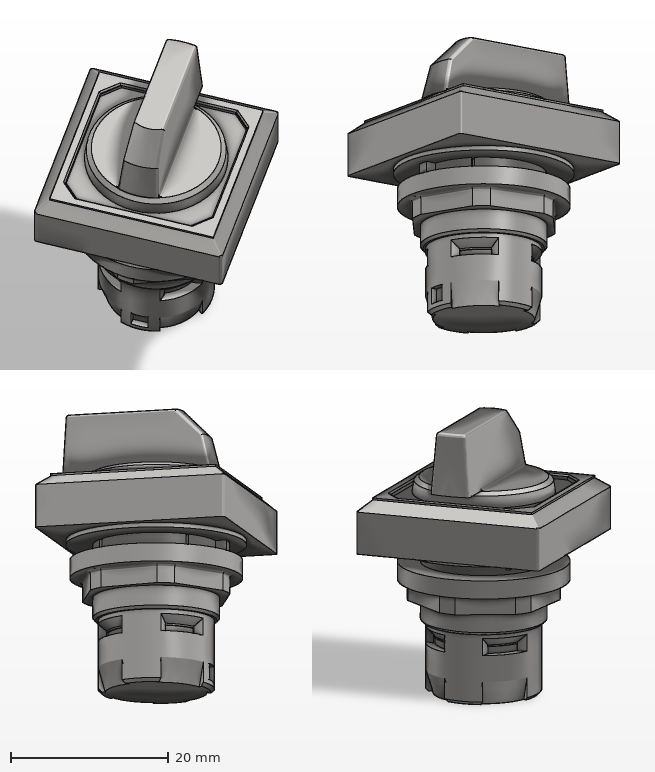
import cadquery as cq
import math

total_height = 36.3
barrel_step_z = 9.33
flange_bottom_z = 19.13
bezel_bottom_z = 19.7
bezel_shoulder_z = 25.23
bezel_lip_z = 26.6
bezel_top_z = 26.85
dial_top_z = 28.25

tolerance = 0.05

bezel_side = 25.0
bezel_corner_radius = 0.4
lip_side = 21.78
bezel_slope_run = (bezel_side - lip_side) / 2
recess_side = 19.93
recess_corner_chamfer = 2.18
recess_depth = 0.65
recess_rim_chamfer = 0.2
flange_diameter = 23.0

dial_base_diameter = 18.25
dial_rim_diameter = 17.8
dial_face_diameter = 16.5
dial_rim_height = 0.47
handle_half_width_bottom = 2.7
handle_half_width_top = 2.05
handle_edge_radius = 0.45
handle_root_height = 0.35
handle_root_width = 0.33
handle_root_overlap = 0.05
handle_root_diameter = 16.2
handle_back_radius_bottom = 11.95
handle_back_radius_top = 11.55
handle_nose_radius_top = 3.63
handle_nose_radius_middle = 7.15
handle_nose_radius_bottom = 8.3
handle_nose_middle_z = 32.78

upper_barrel_diameter = 16.15
upper_barrel_chamfer = 0.35
lower_barrel_diameter = 14.8
lower_barrel_chamfer = 0.45
diagonal_angles = [45, 135, 225, 315]

window_bottom_z = 6.55
window_lintel_z = 7.48
window_step_z = 7.7
window_top_z = 8.75
window_roof_run = 0.98
window_outer_width = 6.17
window_inner_width = 4.15
window_outer_reach = 6.75
window_inner_reach = 6.1
window_floor_diameter = 12.45

grip_width = 6.17
grip_height = 3.05
grip_bottom_diameter = 12.95

pocket_width = 2.25
pocket_bottom_z = 1.05
pocket_top_z = 3.15
pocket_floor_y = -6.55
key_width = 1.52
key_reach = 9.47
key_bottom_z = 17.75
groove_depth = 0.73
groove_width = 0.35
wide_groove_width = 0.65
wide_groove_angle = 135

nut_washer_diameter = 22.0
nut_top_z = 17.17
nut_washer_bottom_z = 14.8
nut_bottom_z = 12.27
nut_across_flats = 17.9
nut_corner_diameter = 19.5
nut_turn = 23.0
nut_root_radius = 0.55


def cylinder(diameter, bottom_z, top_z):
    return cq.Workplane("XY").workplane(offset=bottom_z).circle(diameter / 2).extrude(top_z - bottom_z)


def edges_between(low_z, high_z):
    """Selector for the edges whose centres lie between two heights."""
    return cq.selectors.BoxSelector((-bezel_side, -bezel_side, low_z), (bezel_side, bezel_side, high_z))


def turned(points):
    """Revolve a (radius, Z) outline about the Z axis."""
    return cq.Workplane("XZ").polyline(points).close().revolve(360, (0, 0, 0), (0, 1, 0))


def make_bezel():
    """Square cover with sloping sides, a thin lip and an octagonal recess, on a round flange."""
    block = cq.Workplane("XY").workplane(offset=bezel_bottom_z).rect(bezel_side, bezel_side)
    block = block.extrude(bezel_lip_z - bezel_bottom_z)
    block = block.faces(">Z").chamfer(bezel_lip_z - bezel_shoulder_z, bezel_slope_run)
    block = block.edges("not #Z").fillet(bezel_corner_radius)
    lip = cq.Workplane("XY").workplane(offset=bezel_lip_z).rect(lip_side, lip_side)
    lip = lip.extrude(bezel_top_z - bezel_lip_z)
    flange = cylinder(flange_diameter, flange_bottom_z, bezel_bottom_z)
    return block.union(lip).union(flange).cut(make_recess_cutter())


def make_recess_cutter():
    """Octagonal prism that widens by a chamfer at the rim."""
    def octagon(bottom_z, height, side, taper=0):
        half = side / 2
        straight = half - recess_corner_chamfer
        corners = [(half, -straight), (half, straight), (straight, half), (-straight, half),
                   (-half, straight), (-half, -straight), (-straight, -half), (straight, -half)]
        outline = cq.Workplane("XY").workplane(offset=bottom_z).polyline(corners).close()
        return outline.extrude(height, taper=taper)

    inner_side = recess_side - 2 * recess_rim_chamfer
    walls = octagon(bezel_top_z - recess_depth, recess_depth, inner_side)
    rim = octagon(bezel_top_z, -recess_rim_chamfer, recess_side, taper=45)
    return walls.union(rim)


def make_dial():
    """Round dial with a bevelled rim, widening slightly towards the recess floor."""
    floor_z = bezel_top_z - recess_depth
    return turned([
        (0, floor_z),
        (dial_base_diameter / 2, floor_z),
        (dial_rim_diameter / 2, dial_top_z - dial_rim_height),
        (dial_face_diameter / 2, dial_top_z),
        (0, dial_top_z),
    ])


def make_handle():
    """Tapered bar whose nose and overhanging back are turned about the dial axis."""
    length = 2 * dial_rim_diameter
    tapered_bar = (
        cq.Workplane("XZ", origin=(0, length / 2, 0))
        .polyline([
            (-handle_half_width_bottom, dial_top_z),
            (handle_half_width_bottom, dial_top_z),
            (handle_half_width_top, total_height),
            (-handle_half_width_top, total_height),
        ])
        .close()
        .extrude(length)
    )
    nose = turned([
        (0, dial_top_z),
        (handle_nose_radius_bottom, dial_top_z),
        (handle_nose_radius_middle, handle_nose_middle_z),
        (handle_nose_radius_top, total_height),
        (0, total_height),
    ])
    back = turned([
        (0, dial_top_z),
        (handle_back_radius_bottom, dial_top_z),
        (handle_back_radius_top, total_height),
        (0, total_height),
    ])

    def is_rounded(edge):
        """True for the edges along both sides and the top edge of the back, not across the nose."""
        middle = edge.Center()
        return abs(middle.x) > tolerance or middle.y > dial_rim_diameter / 2

    back_half = cq.Workplane("XY").box(length, length, 2 * total_height).translate((0, length / 2, 0))
    handle = tapered_bar.intersect(nose.union(back.intersect(back_half)))
    upper_edges = handle.edges(edges_between(dial_top_z + tolerance, total_height + tolerance))
    return upper_edges.filter(is_rounded).fillet(handle_edge_radius)


def make_handle_root():
    """Concave ramps along both sides of the handle, where it meets the dial face."""
    inner = handle_half_width_bottom - handle_root_overlap
    outer = handle_half_width_bottom + handle_root_width
    root_top_z = dial_top_z + handle_root_height
    hollow = 1 - math.sqrt(0.5)
    middle_x = inner + hollow * (outer - inner)
    middle_z = dial_top_z + hollow * handle_root_height
    root = (
        cq.Workplane("XZ", origin=(0, dial_rim_diameter / 2, 0))
        .moveTo(-outer, dial_top_z)
        .lineTo(outer, dial_top_z)
        .threePointArc((middle_x, middle_z), (inner, root_top_z))
        .lineTo(-inner, root_top_z)
        .threePointArc((-middle_x, middle_z), (-outer, dial_top_z))
        .close()
        .extrude(dial_rim_diameter)
    )
    return root.intersect(cylinder(handle_root_diameter, dial_top_z, root_top_z))


def make_window_cutter():
    """Recess facing +X: converging sides in plan, a conical roof over a round stepped floor."""
    floor_radius = window_floor_diameter / 2
    barrel_radius = lower_barrel_diameter / 2
    lintel_radius = barrel_radius - window_roof_run
    ring = turned([
        (floor_radius, window_bottom_z),
        (barrel_radius, window_bottom_z),
        (barrel_radius, window_top_z),
        (lintel_radius, window_step_z),
        (lintel_radius, window_lintel_z),
        (floor_radius, window_lintel_z),
    ])
    inner_half = window_inner_width / 2
    outer_half = window_outer_width / 2
    funnel_run = window_outer_reach - window_inner_reach
    beyond_reach = window_outer_reach + funnel_run
    beyond_half = outer_half + (outer_half - inner_half)
    plan = (
        cq.Workplane("XY")
        .workplane(offset=window_bottom_z)
        .polyline([
            (0, -inner_half),
            (window_inner_reach, -inner_half),
            (beyond_reach, -beyond_half),
            (beyond_reach, beyond_half),
            (window_inner_reach, inner_half),
            (0, inner_half),
        ])
        .close()
        .extrude(window_top_z - window_bottom_z)
    )
    return ring.intersect(plan)


def make_grip_cutter():
    """Cut facing +X with parallel sides and a conical floor that deepens downwards."""
    rim = lower_barrel_diameter / 2
    bottom = grip_bottom_diameter / 2
    sliver = turned([(bottom, 0), (2 * rim, 0), (2 * rim, grip_height), (rim, grip_height)])
    bar = cq.Workplane("XY").box(2 * rim, grip_width, grip_height, centered=(False, True, False))
    return sliver.intersect(bar)


def make_barrel():
    """Stepped barrel with windows and grips on the diagonals and a square pocket facing -Y."""
    upper = cylinder(upper_barrel_diameter, barrel_step_z, flange_bottom_z)
    upper = upper.faces("<Z").chamfer(upper_barrel_chamfer)
    lower = cylinder(lower_barrel_diameter, 0, barrel_step_z)
    lower = lower.faces("<Z").chamfer(lower_barrel_chamfer)
    barrel = upper.union(lower)
    for angle in diagonal_angles:
        for cutter in (make_window_cutter(), make_grip_cutter()):
            barrel = barrel.cut(cutter.rotate((0, 0, 0), (0, 0, 1), angle))
    pocket = cq.Workplane("XY").box(
        pocket_width, lower_barrel_diameter, pocket_top_z - pocket_bottom_z, centered=(True, False, False)
    ).translate((0, pocket_floor_y - lower_barrel_diameter, pocket_bottom_z))
    return barrel.cut(pocket)


def make_key():
    """Locating key that sticks out of the barrel towards -Y."""
    return cq.Workplane("XY").box(
        key_width, key_reach, flange_bottom_z - key_bottom_z, centered=(True, False, False)
    ).translate((0, -key_reach, key_bottom_z))


def make_groove_cutter(angle, width):
    """Radial slot in the barrel, just below the flange."""
    groove = cq.Workplane("XY").box(
        2 * groove_depth, width, flange_bottom_z - key_bottom_z, centered=(True, True, False)
    ).translate((upper_barrel_diameter / 2, 0, key_bottom_z))
    return groove.rotate((0, 0, 0), (0, 0, 1), angle)


def make_switch():
    """Bezel, dial, handle and barrel as one solid."""
    switch = make_bezel().union(make_dial()).union(make_handle()).union(make_handle_root())
    switch = switch.union(make_barrel()).union(make_key())
    for angle in diagonal_angles:
        width = wide_groove_width if angle == wide_groove_angle else groove_width
        switch = switch.cut(make_groove_cutter(angle, width))
    return switch


def make_nut():
    """Turned hexagon with rounded-off corners below a round washer, blended together, on the barrel."""
    washer = cylinder(nut_washer_diameter, nut_washer_bottom_z, nut_top_z)
    hexagon = (
        cq.Workplane("XY").workplane(offset=nut_bottom_z)
        .polygon(6, nut_across_flats / math.cos(math.pi / 6))
        .extrude(nut_washer_bottom_z - nut_bottom_z)
        .rotate((0, 0, 0), (0, 0, 1), nut_turn)
        .intersect(cylinder(nut_corner_diameter, nut_bottom_z, nut_washer_bottom_z))
    )
    nut = washer.union(hexagon)
    joint_edges = nut.edges(edges_between(nut_washer_bottom_z - tolerance, nut_washer_bottom_z + tolerance))
    nut = joint_edges.filter(lambda edge: edge.Length() < nut_washer_diameter).fillet(nut_root_radius)
    return nut.cut(cylinder(upper_barrel_diameter, nut_bottom_z, nut_top_z))


switch = make_switch()
nut = make_nut()
result = cq.Compound.makeCompound([switch.val(), nut.val()])